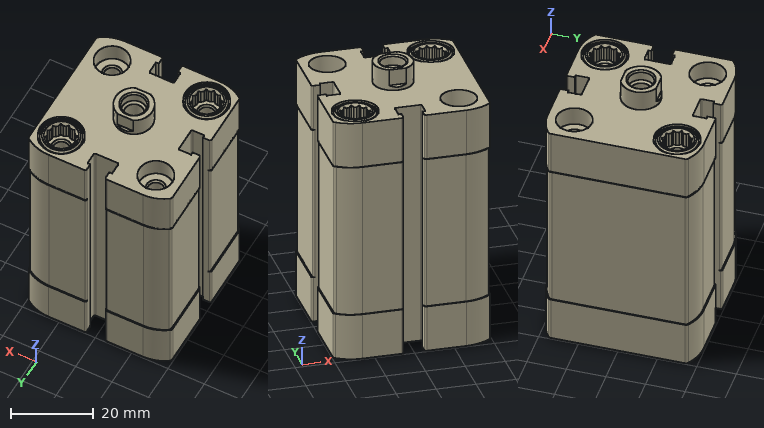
import cadquery as cq
import math

total_height = 69.5
width = 39.5
rod_projection = 5.5
cap_height = 12.0
barrel_inset = 0.3
housing_height = total_height - rod_projection
barrel_height = housing_height - 2 * cap_height

screw_offset = 13.0
corner_radius = 11.0
corner_fillet = 1.0

slot_mouth = 5.2
slot_inner_width = 6.75
slot_depth = 5.7
lip_depth = 2.2
lip_fillet = 0.5
slot_floor_fillet = 0.35

screw_bore = 4.1
screw_bore_entry = 5.0
recess_depth = 5.0
plain_recess = 9.0

groove_diameter = 11.5
groove_depth = 0.7
collar_base = 10.5
collar_face = 9.45
collar_chamfer_height = 0.5
spline_entry = 8.5
spline_root = 7.7
spline_tip = 7.0
spline_entry_depth = 0.75
spline_teeth = 12
spline_tip_width = 0.75
spline_depth = 4.7

rod_diameter = 10.0
rod_insertion = cap_height
flat_width = 9.05
flat_height = 4.2
thread_bore = 6.4
thread_entry = 7.2
thread_bore_depth = 2.8
pilot_bore = 4.9
pilot_depth = 9.7
drill_point_angle = 118.0


def cone_frustum(x, y, z, bottom_diameter, top_diameter, height):
    """Solid cone frustum standing on height z."""
    return (
        cq.Workplane("XY", origin=(x, y, z))
        .circle(bottom_diameter / 2)
        .workplane(offset=height)
        .circle(top_diameter / 2)
        .loft()
    )


def cylinder_down(x, y, z, diameter, depth):
    """Solid cylinder that hangs down from height z."""
    return cq.Workplane("XY", origin=(x, y, z - depth)).circle(diameter / 2).extrude(depth)


def plain_section(z, height, inset):
    """Length of housing with rounded corners, its sides moved inward by the inset."""
    half = width / 2 - inset
    radius = corner_radius - inset
    arc_span = half - screw_offset
    arc_center = half - radius
    edge_y = arc_center + math.sqrt(radius**2 - arc_span**2)
    middle_angle = (math.pi / 2 + math.asin((edge_y - arc_center) / radius)) / 2
    middle_x = screw_offset + radius * math.cos(middle_angle)
    middle_y = arc_center + radius * math.sin(middle_angle)
    return (
        cq.Workplane("XY", origin=(0, 0, z))
        .moveTo(-screw_offset, half)
        .lineTo(screw_offset, half)
        .threePointArc((middle_x, middle_y), (half, edge_y))
        .lineTo(half, -edge_y)
        .threePointArc((middle_x, -middle_y), (screw_offset, -half))
        .lineTo(-screw_offset, -half)
        .threePointArc((-middle_x, -middle_y), (-half, -edge_y))
        .lineTo(-half, edge_y)
        .threePointArc((-middle_x, middle_y), (-screw_offset, half))
        .close()
        .extrude(height)
        .edges("|Z and (<X or >X)")
        .fillet(corner_fillet)
    )


def slot_cutter(z, height, inset, angle):
    """T-slot with rounded lips, made on the +Y face and turned about Z by the angle."""
    face = width / 2 - inset
    lip_bottom = width / 2 - lip_depth
    floor = width / 2 - slot_depth
    mouth = slot_mouth / 2
    chamber_height = lip_bottom - floor
    chamber = (
        cq.Workplane("XY", origin=(0, floor + chamber_height / 2, z))
        .rect(slot_inner_width, chamber_height)
        .extrude(height)
        .edges("|Z and <Y")
        .fillet(slot_floor_fillet)
    )
    opening = (
        cq.Workplane("XY", origin=(0, 0, z))
        .moveTo(-mouth, lip_bottom)
        .lineTo(mouth, lip_bottom)
        .lineTo(mouth, face - lip_fillet)
        .radiusArc((mouth + lip_fillet, face), lip_fillet)
        .lineTo(-mouth - lip_fillet, face)
        .radiusArc((-mouth, face - lip_fillet), lip_fillet)
        .close()
        .extrude(height)
    )
    return chamber.union(opening).rotate((0, 0, 0), (0, 0, 1), angle)


def slotted_section(z, height, inset):
    """Length of housing with its three T-slots; the +X face stays plain."""
    body = plain_section(z, height, inset)
    for angle in (0, 90, 180):
        body = body.cut(slot_cutter(z, height, inset, angle))
    return body


def screw_passage(x, y, depth):
    """Through bore that widens to its entry diameter just below a recess of the given depth."""
    floor = housing_height - depth
    entry_height = (screw_bore_entry - screw_bore) / 2
    bore = cylinder_down(x, y, floor, screw_bore, floor)
    entry = cone_frustum(x, y, floor - entry_height, screw_bore, screw_bore_entry, entry_height)
    return bore.union(entry)


def collar_groove(x, y):
    """Ring groove whose inner wall is chamfered down from the collar face."""
    floor = housing_height - groove_depth
    chamfer_bottom = housing_height - collar_chamfer_height
    ring = cylinder_down(x, y, housing_height, groove_diameter, groove_depth)
    collar = cylinder_down(x, y, chamfer_bottom, collar_base, chamfer_bottom - floor)
    collar_chamfer = cone_frustum(
        x, y, chamfer_bottom, collar_base, collar_face, collar_chamfer_height
    )
    return ring.cut(collar).cut(collar_chamfer)


def splined_recess(x, y):
    """Recess with blunt teeth pointing inward, below a conical entry."""
    floor = housing_height - spline_depth
    first_tooth_angle = math.pi / 4
    tip_radius = spline_tip / 2
    root_radius = spline_root / 2
    pitch = 2 * math.pi / spline_teeth
    tip_half_angle = math.asin(spline_tip_width / spline_tip)
    points = []
    for tooth in range(spline_teeth):
        center = first_tooth_angle + tooth * pitch
        for radius, turn in (
            (tip_radius, -tip_half_angle),
            (tip_radius, tip_half_angle),
            (root_radius, pitch / 2),
        ):
            points.append((radius * math.cos(center + turn), radius * math.sin(center + turn)))
    splines = cq.Workplane("XY", origin=(x, y, floor)).polyline(points).close().extrude(spline_depth)
    entry = cone_frustum(
        x, y, housing_height - spline_entry_depth, spline_tip, spline_entry, spline_entry_depth
    )
    return splines.union(entry)


def make_housing():
    upper_cap_base = cap_height + barrel_height
    body = slotted_section(0, cap_height, 0)
    body = body.union(slotted_section(cap_height, barrel_height, barrel_inset))
    body = body.union(slotted_section(upper_cap_base, cap_height, 0))

    for side in (-1, 1):
        x = side * screw_offset
        body = body.cut(cylinder_down(x, -x, housing_height, plain_recess, recess_depth))
        body = body.cut(screw_passage(x, -x, recess_depth))
        body = body.cut(collar_groove(x, x))
        body = body.cut(splined_recess(x, x))
        body = body.cut(screw_passage(x, x, spline_depth))

    return body.cut(cylinder_down(0, 0, housing_height, rod_diameter, rod_insertion))


def threaded_hole():
    """Stepped blind hole in the rod end, finished with a drill point."""
    entry_depth = (thread_entry - thread_bore) / 2
    cone_slope = 1 / math.tan(math.radians(drill_point_angle / 2))
    step_height = (thread_bore - pilot_bore) / 2 * cone_slope
    point_height = pilot_bore / 2 * cone_slope
    profile = [
        (0, 0),
        (thread_entry / 2, 0),
        (thread_bore / 2, -entry_depth),
        (thread_bore / 2, -thread_bore_depth),
        (pilot_bore / 2, -thread_bore_depth - step_height),
        (pilot_bore / 2, -pilot_depth),
        (0, -pilot_depth - point_height),
    ]
    return (
        cq.Workplane("XZ", origin=(0, 0, total_height))
        .polyline(profile)
        .close()
        .revolve(360, (0, 0), (0, 1))
    )


def wrench_flats():
    """Two cutters that leave flats facing -Y and +Y, each running out in a 45 degree slope."""
    flat = flat_width / 2
    edge = rod_diameter / 2
    runout = edge - flat
    cutters = (
        cq.Workplane("YZ", origin=(-edge, 0, total_height))
        .polyline([(flat, 0), (flat, -flat_height), (edge, -flat_height - runout), (edge, 0)])
        .close()
        .extrude(rod_diameter)
    )
    return cutters.union(cutters.mirror("XZ"))


def make_rod():
    rod = cylinder_down(0, 0, total_height, rod_diameter, rod_projection + rod_insertion)
    return rod.cut(threaded_hole()).cut(wrench_flats())


housing = make_housing()
rod = make_rod()

result = cq.Compound.makeCompound([housing.val(), rod.val()])